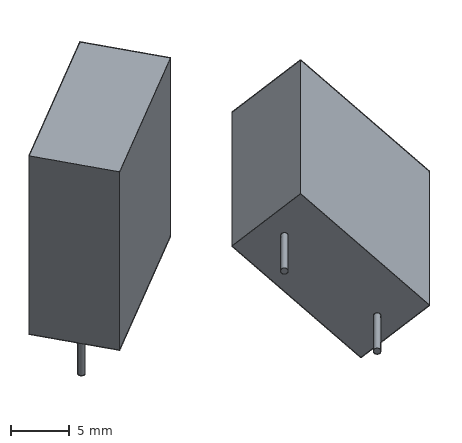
import cadquery as cq

WIDTH = 8.0
LENGTH = 16.0
TOTAL_HEIGHT = 24.6

PIN_DIAMETER = 0.65
PIN_LENGTH = 5.15
PIN_PITCH = 11.5

CASE_HEIGHT = TOTAL_HEIGHT - PIN_LENGTH


def make_case():
    """Plain rectangular case, centred in X and Y, with its underside at Z = 0."""
    return cq.Workplane("XY").box(WIDTH, LENGTH, CASE_HEIGHT, centered=(True, True, False))


def make_pin(y):
    """Round pin hanging from the underside of the case, on its X centre line."""
    return cq.Workplane("XY").center(0, y).circle(PIN_DIAMETER / 2).extrude(-PIN_LENGTH)


case = make_case()
pins = [make_pin(side * PIN_PITCH / 2) for side in (-1, 1)]

result = cq.Compound.makeCompound([case.val(), *[pin.val() for pin in pins]])